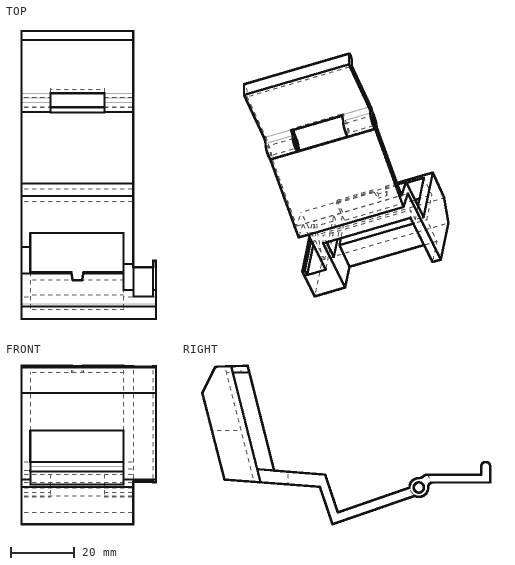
import cadquery as cq
import math


total_width = 42.2
body_width = 35.0
lip_width = 0.9

total_length = 90.3
plate_bottom = 13.1
plate_top = 15.6
hook_thickness = 2.9
hook_top = 19.6

hinge_y = 67.9
hinge_z = 11.6
knuckle_radius = 3.0
pin_diameter = 3.2
hinge_gap_left = 9.1
hinge_gap_right = 26.0
plate_end = 70.7
undercut_rear = 71.9
lower_fillet_radius = 1.35

arm_end_top = (64.7, 11.5)
arm_end_bottom = (66.45, 8.85)
elbow_inner = (42.5, 3.8)
elbow_outer = (40.8, 0.0)
riser_inner = (38.55, plate_top)
riser_outer = (36.8, 11.7)

wall_foot = (22.6, 16.9)
wall_crest = (14.3, 49.7)
bevel_rear = (4.8, 49.5)
bevel_front = (4.0, 49.2)
wall_knee = (0.0, 41.2)
wall_toe = (6.95, 14.0)
lip_setback = 5.2
recess_setback = 7.2

window_left = 2.8
window_right = 32.0
window_top = 29.3
window_rear = 26.9
pocket_top = 47.6
notch_center = 17.5
notch_rear_width = 3.8
notch_floor_width = 2.9
notch_floor = 12.2


def y_on_line(start, end, z):
    """Y at height z on the line through two profile points."""
    return start[0] + (end[0] - start[0]) * (z - start[1]) / (end[1] - start[1])


def z_on_line(start, end, y):
    """Z at position y on the line through two profile points."""
    return start[1] + (end[1] - start[1]) * (y - start[0]) / (end[0] - start[0])


def crossing(start, end, other_start, other_end):
    """Point where the lines through two pairs of profile points cross."""
    slope = (end[1] - start[1]) / (end[0] - start[0])
    other_slope = (other_end[1] - other_start[1]) / (other_end[0] - other_start[0])
    rise = other_start[1] - start[1]
    y = (rise + slope * start[0] - other_slope * other_start[0]) / (slope - other_slope)
    return y, z_on_line(start, end, y)


def set_back(point, setback):
    """Profile point moved toward the front."""
    return point[0] - setback, point[1]


def extrude_profile(sketch, left, right):
    """Extrude a closed (Y, Z) sketch between two X positions."""
    return sketch.extrude(right - left).translate((left, 0, 0))


def prism(points, left, right):
    return extrude_profile(cq.Workplane("YZ").polyline(points).close(), left, right)


def hooked_plate():
    """Plate with an upright hook, its hinge end sloping back underneath."""
    hook_radius = hook_thickness / 2
    hook_inner = total_length - hook_thickness
    sketch = (
        cq.Workplane("YZ")
        .moveTo(undercut_rear, plate_bottom)
        .lineTo(total_length, plate_bottom)
        .lineTo(total_length, hook_top - hook_radius)
        .threePointArc((total_length - hook_radius, hook_top), (hook_inner, hook_top - hook_radius))
        .lineTo(hook_inner, plate_top)
        .lineTo(plate_end, plate_top)
        .close()
    )
    return extrude_profile(sketch, 0, body_width)


def arm_and_wall():
    return prism(
        [
            arm_end_top, elbow_inner, riser_inner, wall_foot, wall_crest, bevel_rear,
            bevel_front, wall_knee, wall_toe, riser_outer, elbow_outer, arm_end_bottom,
        ],
        0,
        body_width,
    )


def knuckle(left, right):
    """Hinge barrel with fillets into the plate and a web into the arm."""
    barrel = extrude_profile(
        cq.Workplane("YZ").center(hinge_y, hinge_z).circle(knuckle_radius), left, right
    )

    barrel_top = hinge_z + knuckle_radius
    half_run = (plate_end - hinge_y) / 2
    half_drop = (plate_top - barrel_top) / 2
    blend_radius = (half_run**2 + half_drop**2) / (2 * half_drop)
    half_angle = math.asin(half_run / blend_radius) / 2
    arc_run = blend_radius * math.sin(half_angle)
    arc_drop = blend_radius * (1 - math.cos(half_angle))
    concave_middle = (hinge_y + arc_run, barrel_top + arc_drop)
    inflection = (hinge_y + half_run, barrel_top + half_drop)
    convex_middle = (plate_end - arc_run, plate_top - arc_drop)

    fillet_z = plate_bottom - lower_fillet_radius
    reach = knuckle_radius + lower_fillet_radius
    fillet_y = hinge_y + math.sqrt(reach**2 - (fillet_z - hinge_z) ** 2)
    touch_angle = math.atan2(hinge_z - fillet_z, hinge_y - fillet_y) % (2 * math.pi)
    middle_angle = (touch_angle + math.pi / 2) / 2
    lower_middle = (
        fillet_y + lower_fillet_radius * math.cos(middle_angle),
        fillet_z + lower_fillet_radius * math.sin(middle_angle),
    )
    lower_touch = (
        fillet_y + lower_fillet_radius * math.cos(touch_angle),
        fillet_z + lower_fillet_radius * math.sin(touch_angle),
    )

    neck = (
        cq.Workplane("YZ")
        .moveTo(hinge_y, barrel_top)
        .threePointArc(concave_middle, inflection)
        .threePointArc(convex_middle, (plate_end, plate_top))
        .lineTo(fillet_y, plate_top)
        .lineTo(fillet_y, plate_bottom)
        .threePointArc(lower_middle, lower_touch)
        .lineTo(hinge_y, hinge_z)
        .close()
    )
    web = prism([arm_end_top, (hinge_y, hinge_z), arm_end_bottom], left, right)
    return barrel.union(extrude_profile(neck, left, right)).union(web)


def pin_hole():
    return extrude_profile(
        cq.Workplane("YZ").center(hinge_y, hinge_z).circle(pin_diameter / 2), 0, body_width
    )


def wall_extension(left, right, setback):
    """Stretch of wall beside the body with its rear face set back."""
    foot = set_back(wall_foot, setback)
    crest = set_back(wall_crest, setback)
    return prism(
        [
            crossing(foot, crest, wall_toe, riser_outer),
            crossing(foot, crest, bevel_rear, wall_crest),
            bevel_rear, bevel_front, wall_knee, wall_toe,
        ],
        left,
        right,
    )


def right_cheek_recess():
    """Cut that sets back the right cheek above the tread."""
    foot = set_back(wall_foot, lip_setback)
    crest = set_back(wall_crest, lip_setback)
    recess_foot = crossing(foot, crest, riser_inner, wall_foot)
    recess_crest = crossing(foot, crest, bevel_rear, wall_crest)
    return prism([wall_foot, wall_crest, recess_crest, recess_foot], window_right, body_width)


def window():
    """Opening through the lower wall and the tread behind it."""
    return prism(
        [(0, 0), (window_rear, 0), (window_rear, window_top), (0, window_top)],
        window_left,
        window_right,
    )


def rear_pocket():
    """Hollow in the rear of the wall, between the window and the top flange."""
    rear_low = (y_on_line(wall_foot, wall_crest, window_top), window_top)
    rear_high = (y_on_line(wall_foot, wall_crest, pocket_top), pocket_top)
    return prism(
        [rear_low, rear_high, set_back(rear_high, recess_setback), set_back(rear_low, recess_setback)],
        window_left,
        window_right,
    )


def flange_notch():
    """Tapered notch in the rear edge of the top flange."""
    rear = y_on_line(wall_foot, wall_crest, pocket_top)
    return (
        cq.Workplane("XY", origin=(0, 0, pocket_top))
        .moveTo(notch_center - notch_rear_width / 2, rear)
        .lineTo(notch_center - notch_floor_width / 2, notch_floor)
        .lineTo(notch_center + notch_floor_width / 2, notch_floor)
        .lineTo(notch_center + notch_rear_width / 2, rear)
        .close()
        .extrude(wall_crest[1] - pocket_top)
    )


lip_left = total_width - lip_width

result = (
    hooked_plate()
    .union(knuckle(0, hinge_gap_left))
    .union(knuckle(hinge_gap_right, body_width))
    .union(arm_and_wall())
    .union(wall_extension(body_width, lip_left, recess_setback))
    .union(wall_extension(lip_left, total_width, lip_setback))
    .cut(pin_hole())
    .cut(right_cheek_recess())
    .cut(window())
    .cut(rear_pocket())
    .cut(flange_notch())
)